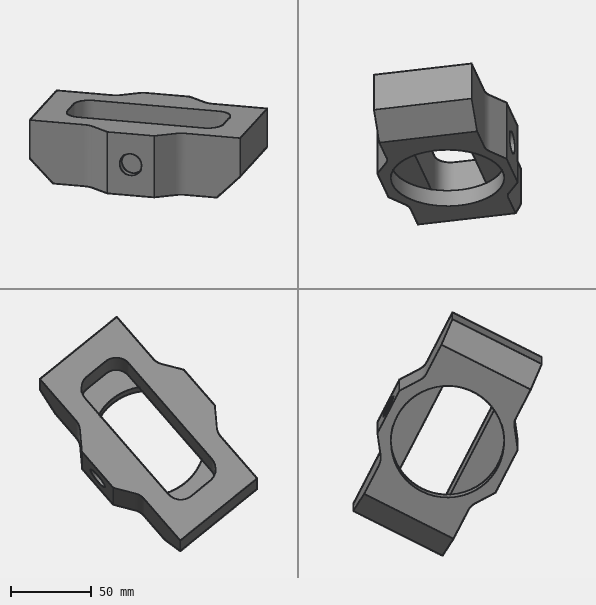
import cadquery as cq
import math

length = 135.0
block_width = 62.0
height = 40.0
end_chamfer = 15.0

overall_width = 82.0
pad_length = 30.0
pad_slope = 35.0
pad_root_radius = 10.0

pocket_length = 100.0
pocket_width = 35.0
pocket_corner_radius = 10.0
pocket_depth = 29.0
opening_diameter = 70.0

side_hole_diameter = 14.0
side_hole_depth = 5.0


def make_block():
    """Rectangular block with its lower end edges chamfered."""
    block = cq.Workplane("XY").box(length, block_width, height, centered=(True, True, False))
    return block.faces("<Z").edges("|Y").chamfer(end_chamfer)


def add_pads(body):
    """Full-height tapered pads on both long sides, blended into the block."""
    pad_rise = (overall_width - block_width) / 2
    tip_x = pad_length / 2
    root_x = tip_x + pad_rise / math.tan(math.radians(pad_slope))
    tip_y = overall_width / 2
    root_y = block_width / 2
    pads = (
        cq.Workplane("XY")
        .polyline([
            (-root_x, root_y),
            (-tip_x, tip_y),
            (tip_x, tip_y),
            (root_x, root_y),
            (root_x, -root_y),
            (tip_x, -tip_y),
            (-tip_x, -tip_y),
            (-root_x, -root_y),
        ])
        .close()
        .extrude(height)
    )
    root_corners = [(x, y, height / 2) for x in (-root_x, root_x) for y in (-root_y, root_y)]
    body = body.union(pads)
    for corner in root_corners:
        root_edge = cq.selectors.NearestToPointSelector(corner)
        body = body.edges("|Z").edges(root_edge).fillet(pad_root_radius)
    return body


def make_pocket():
    """Rounded rectangular pocket, open at the top."""
    return (
        cq.Workplane("XY")
        .workplane(offset=height - pocket_depth)
        .rect(pocket_length, pocket_width)
        .extrude(pocket_depth)
        .edges("|Z")
        .fillet(pocket_corner_radius)
    )


def make_opening():
    """Round opening from the underside up to the pocket floor."""
    return cq.Workplane("XY").circle(opening_diameter / 2).extrude(height - pocket_depth)


def make_side_holes():
    """Matching blind holes in the two pads, on one common axis along Y."""
    hole = (
        cq.Workplane("XZ", origin=(0, -overall_width / 2, height / 2))
        .circle(side_hole_diameter / 2)
        .extrude(-side_hole_depth)
    )
    return hole.union(hole.mirror("XZ"))


body = add_pads(make_block())
result = body.cut(make_pocket()).cut(make_opening()).cut(make_side_holes())